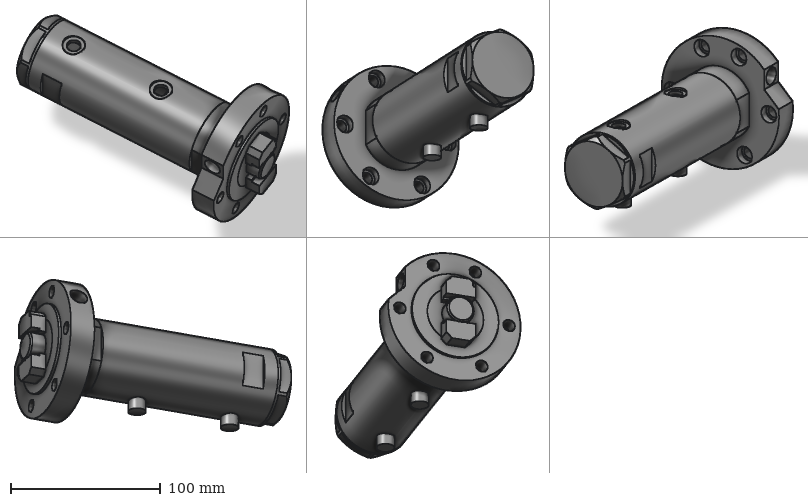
import cadquery as cq
import math


barrel_radius = 26.0
barrel_start = 10.9
barrel_end = 138.5
bore_radius = 22.0
flat_half_width = 23.0
barrel_flat_start = 20.7
barrel_flat_length = 15.0

port_count = 2
first_port_x = 30.5
port_spacing = 69.0
port_radius = 9.5 / 2
spotface_radius = 7.5
spotface_height = 24.5

hex_sides = 6
hex_length = 9.0
hex_chamfer = barrel_radius - flat_half_width
spigot_radius = 16.6
spigot_end = 34.9

pin_count = 2
first_pin_x = 34.9
pin_spacing = 67.5
pin_radius = 12.0 / 2
pin_bottom = -33.6
pin_top = -23.0

flange_radius = 94.0 / 2
flange_start = 154.0
flange_thickness = 17.2
flange_end = flange_start + flange_thickness
flange_bore_radius = 20.0
boss_radius = 30.6
boss_length = 1.8
boss_end = flange_end + boss_length
notch_depth_y = -35.0
notch_corner_z = 17.0
cross_hole_radius = 12.0 / 2
cross_hole_z = 24.0
bolt_circle_radius = 38.8
bolt_angles = (0, 67.5, 112.5, 180, 240, 300)
bolt_hole_radius = 8.3 / 2
bolt_head_radius = 12.0 / 2
bolt_head_depth = 5.9

shaft_radius = 9.6
shaft_end = 184.0
shaft_chamfer = 1.1

sleeve_start = 102.5

lug_gap = 0.4
lug_start = boss_end + lug_gap
lug_half_height = 23.0
lug_half_width = 10.3
lug_chamfer = 3.9
slot_half_height = 8.1
mouth_half_height = 9.8
mouth_start = 177.8
stud_radius = 1.7
stud_y = 10.0
stud_z = 19.4
overall_length = 184.6


def rod(radius, start, end, y=0.0, z=0.0):
    """Cylinder along X between two X positions."""
    return cq.Workplane("YZ", origin=(start, y, z)).circle(radius).extrude(end - start)


def post(radius, x, bottom, top):
    """Cylinder along Z between two heights."""
    return cq.Workplane("XY", origin=(x, 0, bottom)).circle(radius).extrude(top - bottom)


def block(x_range, y_range, z_range):
    """Box given by its limits along each axis."""
    lows, highs = zip(x_range, y_range, z_range)
    sizes = [high - low for low, high in zip(lows, highs)]
    return cq.Workplane("XY", origin=lows).box(*sizes, centered=False)


def flatted(start, end):
    """Length of the barrel's outside diameter with two opposite flats facing +Y and -Y."""
    reach = (-barrel_radius, barrel_radius)
    slab = block((start, end), (-flat_half_width, flat_half_width), reach)
    return rod(barrel_radius, start, end).intersect(slab)


port_positions = [first_port_x + i * port_spacing for i in range(port_count)]
pin_positions = [first_pin_x + i * pin_spacing for i in range(pin_count)]


def make_barrel():
    """Bored tube with wrench flats, spotfaced ports on top and blind pin seats below."""
    flat_end = barrel_flat_start + barrel_flat_length
    body = rod(barrel_radius, barrel_start, barrel_flat_start)
    body = body.union(flatted(barrel_flat_start, flat_end))
    body = body.union(rod(barrel_radius, flat_end, barrel_end))
    body = body.cut(rod(bore_radius, barrel_start, barrel_end))
    for x in port_positions:
        body = body.cut(post(port_radius, x, 0, barrel_radius))
        body = body.cut(post(spotface_radius, x, spotface_height, barrel_radius))
    for x in pin_positions:
        body = body.cut(make_pin(x))
    return body


def make_cap():
    """Hexagon with turned corners and a chamfered face, a round collar and a spigot in the bore."""
    corner_diameter = 2 * flat_half_width / math.cos(math.pi / hex_sides)
    head = cq.Workplane("YZ").polygon(hex_sides, corner_diameter).extrude(hex_length)
    head = head.rotate((0, 0, 0), (1, 0, 0), 180 / hex_sides)
    chamfered_rod = rod(barrel_radius, 0, hex_length).faces("<X").chamfer(hex_chamfer)
    collar = rod(barrel_radius, hex_length, barrel_start)
    spigot = rod(spigot_radius, barrel_start, spigot_end)
    return head.intersect(chamfered_rod).union(collar).union(spigot)


def make_pin(x):
    """Upright pin seated in the underside of the barrel wall."""
    return post(pin_radius, x, pin_bottom, pin_top)


def make_notch():
    """Prism that opens the flange rim: an upright wall and a 45 degree ramp."""
    outer_y = notch_depth_y - flange_radius
    ramp_drop = flange_radius
    return (
        cq.Workplane("YZ", origin=(flange_start, 0, 0))
        .moveTo(notch_depth_y, flange_radius)
        .lineTo(notch_depth_y, notch_corner_z)
        .lineTo(outer_y, notch_corner_z - ramp_drop)
        .lineTo(outer_y, flange_radius)
        .close()
        .extrude(flange_thickness)
    )


def make_flange():
    """Flatted neck, notched bolt flange and boss around a common bore."""
    body = flatted(barrel_end, flange_start)
    body = body.union(rod(flange_radius, flange_start, flange_end))
    body = body.union(rod(boss_radius, flange_end, boss_end))
    body = body.cut(make_notch())
    for angle in bolt_angles:
        y = bolt_circle_radius * math.cos(math.radians(angle))
        z = bolt_circle_radius * math.sin(math.radians(angle))
        body = body.cut(rod(bolt_hole_radius, flange_start, flange_end, y, z))
        body = body.cut(rod(bolt_head_radius, flange_start, flange_start + bolt_head_depth, y, z))
    cross_hole = (
        cq.Workplane("XZ", origin=(flange_start + flange_thickness / 2, 0, cross_hole_z))
        .circle(cross_hole_radius)
        .extrude(flange_radius, both=True)
    )
    body = body.cut(cross_hole)
    return body.cut(rod(flange_bore_radius, barrel_end, boss_end))


def make_sleeve():
    """Sleeve stepped to fit the barrel and flange bores, with a bore for the shaft."""
    body = rod(bore_radius, sleeve_start, barrel_end)
    body = body.union(rod(flange_bore_radius, barrel_end, boss_end))
    return body.cut(rod(shaft_radius, sleeve_start, boss_end))


def lug_bar(end):
    """Upright bar across the axis with chamfered long edges, from the lug start to the given X."""
    width = (-lug_half_width, lug_half_width)
    height = (-lug_half_height, lug_half_height)
    return block((lug_start, end), width, height).edges("|X").chamfer(lug_chamfer)


def make_lugs():
    """Two lugs left by a stepped slot through the bar, with a small stud on the upper one."""
    width = (-lug_half_width, lug_half_width)
    slot = block((lug_start, mouth_start), width, (-slot_half_height, slot_half_height))
    mouth = block((mouth_start, shaft_end), width, (-mouth_half_height, mouth_half_height))
    stud = rod(stud_radius, lug_start, overall_length, stud_y, stud_z)
    stud = stud.intersect(lug_bar(overall_length))
    return lug_bar(shaft_end).cut(slot).cut(mouth).union(stud)


def make_shaft():
    """Round shaft with a chamfered tip that carries the drive lugs."""
    body = rod(shaft_radius, spigot_end, shaft_end).faces(">X").chamfer(shaft_chamfer)
    return body.union(make_lugs())


barrel = make_barrel()
cap = make_cap()
flange = make_flange()
shaft = make_shaft()
sleeve = make_sleeve()
pins = [make_pin(x) for x in pin_positions]

result = cq.Compound.makeCompound(
    [barrel.val(), cap.val(), flange.val(), shaft.val(), sleeve.val(), *[pin.val() for pin in pins]]
)